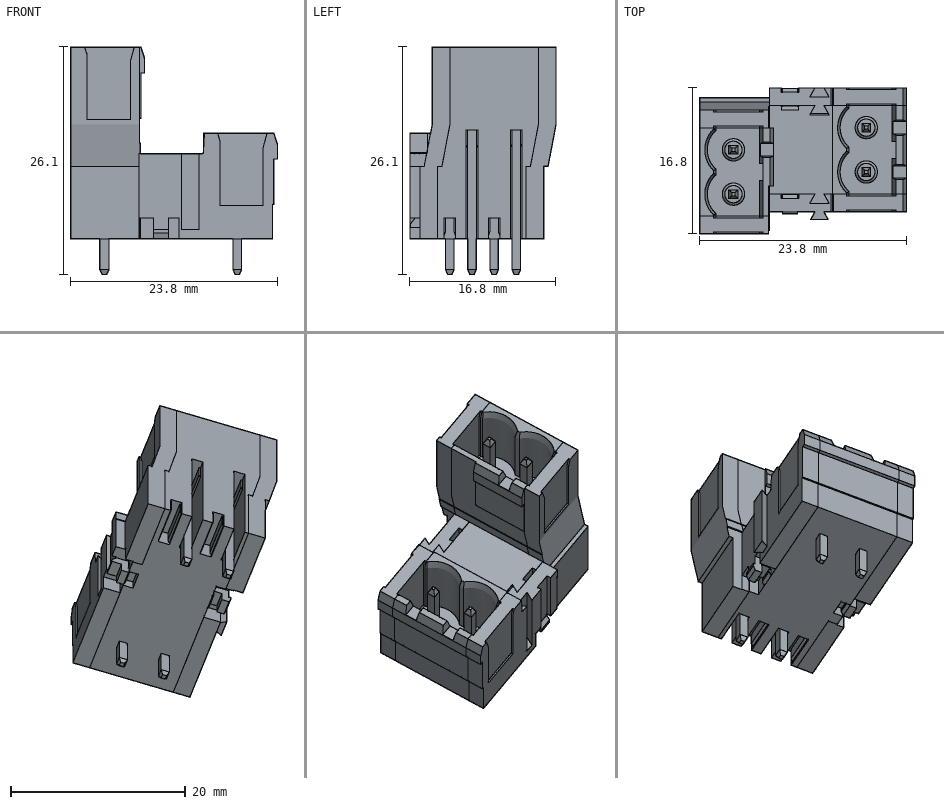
import cadquery as cq


PITCH = 5.1
PLATE = 2.04
CORE = 10.15
WIDTH = CORE + 2 * PLATE
SEAMS = [0, PLATE, PLATE + CORE, WIDTH]
POLES = [WIDTH / 2 - PITCH / 2, WIDTH / 2 + PITCH / 2]
TINY = 0.03

TOWER_TOP = 22.0
DECK_TOP = 9.8
LOW_TOP = 12.14
TOWER_LENGTH = 8.0
WALL_X = 7.93
LOW_X = 15.25
LOW_Y = PITCH / 2
LOW_Z = LOW_TOP - TOWER_TOP

FOOT_SHIFT = 1.4
NECK_SHIFT = 0.91
FOOT_TOP = 8.33
SLOPE_TOP = 13.13
STEP_Z = 11.01
RELIEF_DEPTH = 0.08
FOOT_LENGTH = 7.85

STRIP = 0.15
HOOK = 0.57
STRIP_HEIGHT = 8.17
HOOK_HEIGHT = 2.98
HOOK_SLOPE = 1.28
TOWER_STRIP_START = 5.48
NOTCH_FLOOR = 1.4
NOTCH_MOUTH = 1.77
NOTCH_DEPTH = 1.23

LEAN = 0.13
RAMP_LENGTH = 0.18
RAMP_HEIGHT = 0.1

CAVITY_X0 = 1.9
CAVITY_X1 = 6.86
CAVITY_DEPTH = 8.3
FLARE_LEFT = 0.3
FLARE_LEFT_DROP = 0.9
FLARE_RIGHT = 0.45
FLARE_RIGHT_DROP = 1.62
PANEL_DEPTH = 0.2
SCALLOP_RADIUS = 3.0
KEY_WIDTH = 1.95

PIN_X = 3.9
TOWER_PIN_LENGTH = 1.1
PIN_SIZE = 1.0
PIN_BELOW_TOP = 0.73
PIN_TIP = 0.78
PIN_TIP_SIZE = 0.37
OVERALL_HEIGHT = 26.1
TAIL = OVERALL_HEIGHT - TOWER_TOP
TAIL_TIP = 0.57
TAIL_TIP_SIZE = 0.5
BOSS_RADIUS = 1.28
BOSS_TAPER = 0.3

SLOT_WIDTH = 1.33
SLOT_DEPTH = PIN_X + TOWER_PIN_LENGTH / 2
TALL_SLOT = 12.5
LOW_SLOT = 2.38
TALL_SLOT_GUIDE = (0.84, 10.52, 0.37)
LOW_SLOT_GUIDE = (0.23, 0.35, 0.5)

DOVETAIL_X = 13.75
DOVETAIL_NECK = 1.05
FLANK_SPREAD = 0.55
GROOVE_DEPTH = 1.07
PLATE_TONGUE = 0.9
DOVETAIL_BOTTOM = 1.07

TAB_X0 = 9.5
TAB_X1 = 11.25
TAB_SLOT_END = 12.42
TAB_HEIGHT = 2.38
BUMP_DEPTH = 0.23
BUMP_TOP = 1.07
BUMP_CHAMFER_TOP = 0.65
POCKET_DEPTH = 0.5
POCKET_MARGIN = 0.1
LEDGE_DEPTH = 0.45
LEDGE_TOP = 2.27
LEDGE_EDGE = 1.75
LEDGE_BOTTOM = 1.33
UNDERCUT = 1.17


def box(x0, x1, y0, y1, z0, z1):
    return cq.Workplane("XY").box(x1 - x0, y1 - y0, z1 - z0, centered=False).translate((x0, y0, z0))


def prism_y(points, y0, y1):
    """XZ outline extruded from y0 to y1."""
    return cq.Workplane("XZ", origin=(0, y0, 0)).polyline(points).close().extrude(y0 - y1)


def prism_x(points, x0, x1):
    """YZ outline extruded from x0 to x1."""
    return cq.Workplane("YZ", origin=(x0, 0, 0)).polyline(points).close().extrude(x1 - x0)


def at_low_level(shape):
    """Moves a tower socket feature to the lower socket."""
    return shape.translate((LOW_X, LOW_Y, LOW_Z))



def tower(y0, y1):
    edge = [
        (FOOT_SHIFT, 0),
        (FOOT_SHIFT, FOOT_TOP),
        (NECK_SHIFT, FOOT_TOP),
        (0, SLOPE_TOP),
        (0, TOWER_TOP),
    ]
    near = [(y0 + shift, z) for shift, z in edge]
    far = [(y1 + shift, z) for shift, z in reversed(edge)]
    step = box(WALL_X, TOWER_LENGTH + TINY, y0 - TINY, y1 + FOOT_SHIFT, STEP_Z, TOWER_TOP + TINY)
    clearance = box(FOOT_LENGTH, TOWER_LENGTH + TINY, 0, LOW_Y, -TINY, DECK_TOP)
    return prism_x(near + far, 0, TOWER_LENGTH).cut(step).cut(clearance)


def catch_strip(y0, y1):
    root_x = WALL_X - STRIP
    strip_x = WALL_X + STRIP
    hook_x = WALL_X + HOOK
    outline = [
        (root_x, TOWER_TOP - STRIP_HEIGHT),
        (strip_x, TOWER_TOP - STRIP_HEIGHT),
        (strip_x, TOWER_TOP - HOOK_HEIGHT),
        (hook_x, TOWER_TOP - HOOK_HEIGHT),
        (hook_x, TOWER_TOP - HOOK_SLOPE),
        (strip_x, TOWER_TOP),
        (root_x, TOWER_TOP),
    ]
    return prism_y(outline, y0, y1)


def deck_and_low_socket(y0, y1):
    outline = [
        (TOWER_LENGTH, 0),
        (LOW_X + WALL_X, 0),
        (LOW_X + WALL_X, LOW_TOP),
        (LOW_X, LOW_TOP),
        (LOW_X, DECK_TOP),
        (TOWER_LENGTH, DECK_TOP),
    ]
    block = prism_y(outline, y0 + LOW_Y, y1 + LOW_Y)
    return block.union(at_low_level(catch_strip(y0, y1)))


def slice_blank(y0, y1):
    return tower(y0, y1).union(deck_and_low_socket(y0, y1))



def flared_outline():
    return [
        (CAVITY_X0, TOWER_TOP - CAVITY_DEPTH),
        (CAVITY_X1, TOWER_TOP - CAVITY_DEPTH),
        (CAVITY_X1, TOWER_TOP - FLARE_RIGHT_DROP),
        (CAVITY_X1 + FLARE_RIGHT, TOWER_TOP),
        (CAVITY_X0 - FLARE_LEFT, TOWER_TOP),
        (CAVITY_X0, TOWER_TOP - FLARE_LEFT_DROP),
    ]


def scallops():
    """Round bays of the -X wall, one about each pin, widening at the mouth."""
    floor = TOWER_TOP - CAVITY_DEPTH
    flare_z = TOWER_TOP - FLARE_LEFT_DROP
    bays = box(0, PIN_X, SEAMS[1], SEAMS[2], floor, TOWER_TOP)
    rounds = cq.Workplane()
    for y in POLES:
        wall = cq.Workplane(origin=(PIN_X, y, floor)).circle(SCALLOP_RADIUS).extrude(flare_z - floor)
        mouth = (
            cq.Workplane(origin=(PIN_X, y, flare_z))
            .circle(SCALLOP_RADIUS)
            .workplane(offset=FLARE_LEFT_DROP)
            .circle(SCALLOP_RADIUS + FLARE_LEFT)
            .loft()
        )
        rounds = rounds.add(wall).add(mouth)
    return bays.intersect(rounds.combine())


def socket_cutter():
    """Cavity with its key slot and the shallow panels in both outer sides."""
    outline = flared_outline()
    middle = WIDTH / 2
    key = box(
        CAVITY_X1 - TINY, CAVITY_X1 + FLARE_RIGHT,
        middle - KEY_WIDTH / 2, middle + KEY_WIDTH / 2,
        TOWER_TOP - CAVITY_DEPTH, TOWER_TOP,
    )
    cavity = prism_y(outline, SEAMS[1] - PANEL_DEPTH, SEAMS[2] + PANEL_DEPTH)
    near_panel = prism_y(outline, 0, PANEL_DEPTH)
    far_panel = prism_y(outline, WIDTH - PANEL_DEPTH, WIDTH)
    return cavity.union(scallops()).union(key).union(near_panel).union(far_panel)


def cut_sockets(body):
    cutter = socket_cutter()
    return body.cut(cutter).cut(at_low_level(cutter))


def catch_notch(y):
    """Gap in the catch wall in line with a pin."""
    outline = [
        (y - NOTCH_FLOOR / 2, TOWER_TOP - NOTCH_DEPTH),
        (y + NOTCH_FLOOR / 2, TOWER_TOP - NOTCH_DEPTH),
        (y + NOTCH_MOUTH / 2, TOWER_TOP),
        (y - NOTCH_MOUTH / 2, TOWER_TOP),
    ]
    return prism_x(outline, CAVITY_X1, WALL_X + HOOK)



def dovetail(face_y, depth):
    """Tongue standing out in -Y from a face, also used to cut its groove."""
    half_neck = DOVETAIL_NECK / 2
    half_tip = half_neck + depth * FLANK_SPREAD
    tongue = [
        (DOVETAIL_X - half_neck, face_y),
        (DOVETAIL_X + half_neck, face_y),
        (DOVETAIL_X + half_tip, face_y - depth),
        (DOVETAIL_X - half_tip, face_y - depth),
    ]
    height = DECK_TOP - DOVETAIL_BOTTOM
    return cq.Workplane(origin=(0, 0, DOVETAIL_BOTTOM)).polyline(tongue).close().extrude(height)


def clip_bump(face_y):
    """Snap bump at the foot of a -Y face."""
    outline = [
        (face_y, 0),
        (face_y - BUMP_DEPTH, BUMP_CHAMFER_TOP),
        (face_y - BUMP_DEPTH, BUMP_TOP),
        (face_y, BUMP_TOP),
    ]
    return prism_x(outline, TAB_X0, TAB_X1)


def clip_pocket(face_y):
    """Recess in a +Y face, leaving a ledge that holds the next slice's bump."""
    outline = [
        (face_y, DECK_TOP),
        (face_y - POCKET_DEPTH, DECK_TOP),
        (face_y - POCKET_DEPTH, LEDGE_TOP),
        (face_y - POCKET_DEPTH + LEDGE_DEPTH, LEDGE_EDGE),
        (face_y - POCKET_DEPTH + LEDGE_DEPTH, LEDGE_BOTTOM),
        (face_y - UNDERCUT, LEDGE_BOTTOM),
        (face_y - UNDERCUT, 0),
        (face_y, 0),
    ]
    return prism_x(outline, TAB_X0 - POCKET_MARGIN, TAB_X1 + POCKET_MARGIN)


def add_joints(body, y0, y1, tongue_depth):
    near = y0 + LOW_Y
    far = y1 + LOW_Y
    body = body.cut(dovetail(far, GROOVE_DEPTH)).cut(clip_pocket(far))
    return body.union(dovetail(near, tongue_depth)).union(clip_bump(near))



def leaning_wall(y0, y1):
    """Wedge cut away where the -X wall of the lower socket leans back."""
    outline = [
        (LOW_X, DECK_TOP + RAMP_HEIGHT),
        (LOW_X + LEAN, LOW_TOP),
        (LOW_X, LOW_TOP),
    ]
    return prism_y(outline, y0 + LOW_Y, y1 + LOW_Y)


def wall_ramp(y0, y1):
    """Shallow ramp from the deck to the foot of the lower socket's -X wall."""
    outline = [
        (LOW_X - RAMP_LENGTH, DECK_TOP),
        (LOW_X, DECK_TOP),
        (LOW_X, DECK_TOP + RAMP_HEIGHT),
    ]
    return prism_y(outline, y0 + LOW_Y, y1 + LOW_Y)


def stacking_relief():
    """Set-back on the deck's -X face, beyond the tower foot."""
    x1 = TOWER_LENGTH + RELIEF_DEPTH
    return box(TOWER_LENGTH, x1, WIDTH + FOOT_SHIFT, WIDTH + LOW_Y, 0, FOOT_TOP)


def end_plate(y0, y1):
    plate = slice_blank(y0, y1).cut(leaning_wall(y0, y1)).union(wall_ramp(y0, y1))
    plate = cut_sockets(plate).cut(stacking_relief())
    for x0, x1 in [(WALL_X, TAB_X0), (TAB_X1, TAB_SLOT_END)]:
        plate = plate.cut(box(x0, x1, y0 + LOW_Y, y1 + LOW_Y, 0, TAB_HEIGHT))
    return add_joints(plate, y0, y1, PLATE_TONGUE)



def pin_tip(x, y, z, length, tip_size, height):
    return (
        cq.Workplane(origin=(x, y, z))
        .rect(length, PIN_SIZE)
        .workplane(offset=height)
        .rect(tip_size, tip_size)
        .loft()
    )


def pin(x, y, length, socket_top):
    top = socket_top - PIN_BELOW_TOP - PIN_TIP
    bottom = TAIL_TIP - TAIL
    shank = cq.Workplane(origin=(x, y, bottom)).rect(length, PIN_SIZE).extrude(top - bottom)
    upper_tip = pin_tip(x, y, top, length, PIN_TIP_SIZE, PIN_TIP)
    lower_tip = pin_tip(x, y, bottom, length, TAIL_TIP_SIZE, -TAIL_TIP)
    return shank.union(upper_tip).union(lower_tip)


def boss(x, y, socket_top):
    """Tapered collar about a pin on the cavity floor."""
    return (
        cq.Workplane(origin=(x, y, socket_top - CAVITY_DEPTH))
        .circle(BOSS_RADIUS)
        .workplane(offset=BOSS_TAPER)
        .circle(BOSS_RADIUS - BOSS_TAPER)
        .loft()
    )


def pin_slot(y, height, guide_x, guide_bottom, guide_slope):
    """Slot in the -X face, funnelling to the pin width beyond guide_x."""
    mouth = box(0, guide_x, y - SLOT_WIDTH / 2, y + SLOT_WIDTH / 2, 0, height)
    funnel = [
        (y - SLOT_WIDTH / 2, 0),
        (y + SLOT_WIDTH / 2, 0),
        (y + SLOT_WIDTH / 2, guide_bottom),
        (y + PIN_SIZE / 2, guide_bottom + guide_slope),
        (y + PIN_SIZE / 2, height),
        (y - PIN_SIZE / 2, height),
        (y - PIN_SIZE / 2, guide_bottom + guide_slope),
        (y - SLOT_WIDTH / 2, guide_bottom),
    ]
    return mouth.union(prism_x(funnel, guide_x, SLOT_DEPTH))


def contact_block(y0, y1):
    body = slice_blank(y0, y1).union(catch_strip(TOWER_STRIP_START, y1))
    body = cut_sockets(body)
    body = body.cut(catch_notch(POLES[1]))
    for y in POLES:
        low_y = y + LOW_Y
        body = body.cut(at_low_level(catch_notch(y)))
        body = body.cut(pin_slot(y, TALL_SLOT, *TALL_SLOT_GUIDE))
        body = body.cut(pin_slot(low_y, LOW_SLOT, *LOW_SLOT_GUIDE))
        body = body.union(boss(PIN_X, y, TOWER_TOP)).union(boss(PIN_X + LOW_X, low_y, LOW_TOP))
        body = body.union(pin(PIN_X, y, TOWER_PIN_LENGTH, TOWER_TOP))
        body = body.union(pin(PIN_X + LOW_X, low_y, PIN_SIZE, LOW_TOP))
    return add_joints(body, y0, y1, GROOVE_DEPTH)


near_plate = end_plate(SEAMS[0], SEAMS[1])
contacts = contact_block(SEAMS[1], SEAMS[2])
far_plate = end_plate(SEAMS[2], SEAMS[3])

result = cq.Compound.makeCompound(
    [near_plate.solids().val(), contacts.solids().val(), far_plate.solids().val()]
)